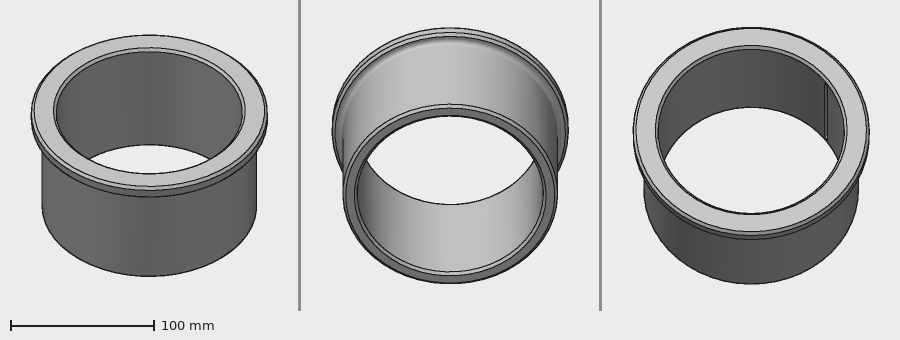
import cadquery as cq

total_height = 90.0
bore_radius = 130.0 / 2
body_radius = 150.0 / 2
flange_radius = 165.0 / 2
flange_thickness = 10.0
edge_chamfer = 2.0
neck_fillet = 3.5

groove_width = 3.5
groove_end_margin = 5.0

flange_bottom = total_height - flange_thickness


def flanged_sleeve():
    """Revolve the wall section about Z; every edge break is part of the outline."""
    profile = (
        cq.Workplane("XZ")
        .moveTo(bore_radius, edge_chamfer)
        .lineTo(bore_radius + edge_chamfer, 0)
        .lineTo(body_radius - edge_chamfer, 0)
        .lineTo(body_radius, edge_chamfer)
        .lineTo(body_radius, flange_bottom - neck_fillet)
        .radiusArc((body_radius + neck_fillet, flange_bottom), neck_fillet)
        .lineTo(flange_radius - edge_chamfer, flange_bottom)
        .lineTo(flange_radius, flange_bottom + edge_chamfer)
        .lineTo(flange_radius, total_height - edge_chamfer)
        .lineTo(flange_radius - edge_chamfer, total_height)
        .lineTo(bore_radius + edge_chamfer, total_height)
        .lineTo(bore_radius, total_height - edge_chamfer)
        .close()
    )
    return profile.revolve(360, (0, 0, 0), (0, 1, 0))


def bore_groove():
    """Round-bottomed cutter with ball ends, centred on the bore wall."""
    groove_radius = groove_width / 2
    lower_ball = groove_end_margin + groove_radius
    upper_ball = total_height - groove_end_margin - groove_radius
    cutter = (
        cq.Workplane("XY")
        .workplane(offset=lower_ball)
        .center(bore_radius, 0)
        .circle(groove_radius)
        .extrude(upper_ball - lower_ball)
    )
    for ball_height in (lower_ball, upper_ball):
        ball = cq.Workplane("XY").sphere(groove_radius)
        cutter = cutter.union(ball.translate((bore_radius, 0, ball_height)))
    return cutter


result = flanged_sleeve().cut(bore_groove())